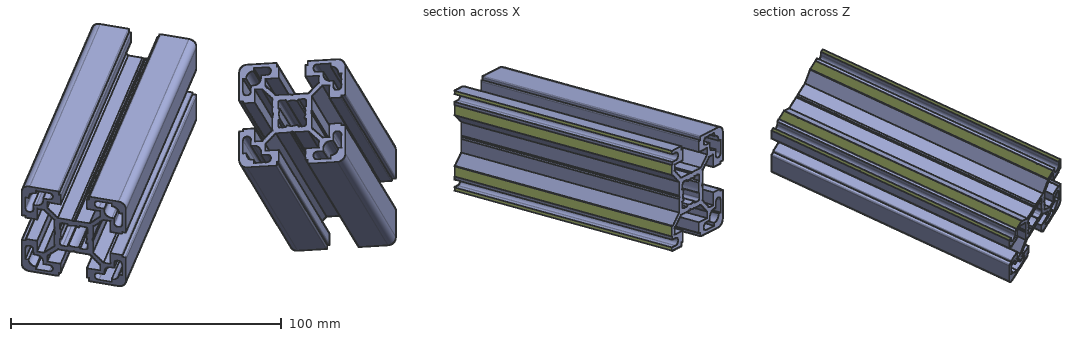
import cadquery as cq
import math

width = 40.0
length = 100.0
corner_radius = 3.0
half = width / 2

slot_half_width = 5.0
mouth_half_width = 5.8
mouth_depth = 1.5
mouth_round = 0.4
lip_round = 0.3
lip_thickness = 6.0
slot_inner_half_width = 10.1
web_offset = 1.3

core_half = 7.4
groove_half_width = 0.7
groove_depth = 0.3
bore_radius = 5.0
bore_pocket_half = 5.3
bore_pocket_round = 1.0
rib_tip_offset = 2.0
rib_root_offset = 2.5

wall = 1.5
channel_width = 3.0
channel_end = 8.0
hub_center = 14.5
hub_radius = 2.8


def profile():
    """Workplane of the cross-section, extruding from -Y to +Y about the origin."""
    return cq.Workplane("XZ", origin=(0, length / 2, 0))


def around_axis(cutter, angle):
    """Turn a cutter about the long axis of the extrusion."""
    return cutter.rotate((0, 0, 0), (0, 1, 0), angle)


def bar():
    """Solid square bar with rounded long edges."""
    return profile().rect(width, width).extrude(length).edges("|Y").fillet(corner_radius)


def slot_half():
    """Right half of the T-slot opening on the top face."""
    lip_bottom = half - lip_thickness
    ledge = half - mouth_depth
    lip_sag = lip_round * (1 - math.sqrt(0.5))
    mouth_sag = mouth_round * (1 - math.sqrt(0.5))
    return (
        profile()
        .moveTo(0, core_half - groove_depth)
        .lineTo(groove_half_width, core_half)
        .lineTo(core_half - web_offset, core_half)
        .lineTo(slot_inner_half_width, slot_inner_half_width + web_offset)
        .lineTo(slot_inner_half_width, lip_bottom)
        .lineTo(slot_half_width, lip_bottom)
        .lineTo(slot_half_width, ledge - lip_round)
        .threePointArc(
            (slot_half_width + lip_sag, ledge - lip_sag),
            (slot_half_width + lip_round, ledge),
        )
        .lineTo(mouth_half_width, ledge)
        .lineTo(mouth_half_width, half - mouth_round)
        .threePointArc(
            (mouth_half_width + mouth_sag, half - mouth_sag),
            (mouth_half_width + mouth_round, half),
        )
        .lineTo(0, half)
        .close()
        .extrude(length)
    )


def slot():
    """T-slot, with a shallow V groove along its floor."""
    right = slot_half()
    return right.union(right.mirror("YZ"))


def corner_hollow():
    """L-shaped hollow in the +X +Z corner: two round-ended arms and a round hub at the bend."""
    outer = half - wall
    inner = outer - channel_width
    end_radius = channel_width / 2
    end_center = channel_end + end_radius
    arm_middle = outer - end_radius
    hub_near = hub_center - hub_radius
    hub_far = hub_center + hub_radius
    hub_outer_middle = hub_center + hub_radius * math.sqrt(0.5)
    hub_inner_middle = hub_center - hub_radius * math.sqrt(0.5)
    return (
        profile()
        .moveTo(end_center, outer)
        .lineTo(hub_center, outer)
        .lineTo(hub_center, hub_far)
        .threePointArc((hub_outer_middle, hub_outer_middle), (hub_far, hub_center))
        .lineTo(outer, hub_center)
        .lineTo(outer, end_center)
        .threePointArc((arm_middle, channel_end), (inner, end_center))
        .lineTo(inner, hub_near)
        .lineTo(hub_center, hub_near)
        .threePointArc((hub_inner_middle, hub_inner_middle), (hub_near, hub_center))
        .lineTo(hub_near, inner)
        .lineTo(end_center, inner)
        .threePointArc((channel_end, arm_middle), (end_center, outer))
        .close()
        .extrude(length)
    )


def bore_pocket():
    """Square corner pocket of the bore, leaving pointed ribs beside it."""
    rib_tip = math.sqrt(bore_radius**2 - rib_tip_offset**2)
    return (
        profile()
        .polyline([
            (0, 0),
            (rib_tip_offset, rib_tip),
            (rib_root_offset, bore_pocket_half),
            (bore_pocket_half, bore_pocket_half),
            (bore_pocket_half, rib_root_offset),
            (rib_tip, rib_tip_offset),
        ])
        .close()
        .extrude(length)
        .edges(cq.selectors.NearestToPointSelector((bore_pocket_half, 0, bore_pocket_half)))
        .fillet(bore_pocket_round)
    )


result = bar().cut(profile().circle(bore_radius).extrude(length))
for quarter in range(4):
    for cutter in (slot(), corner_hollow(), bore_pocket()):
        result = result.cut(around_axis(cutter, quarter * 90))